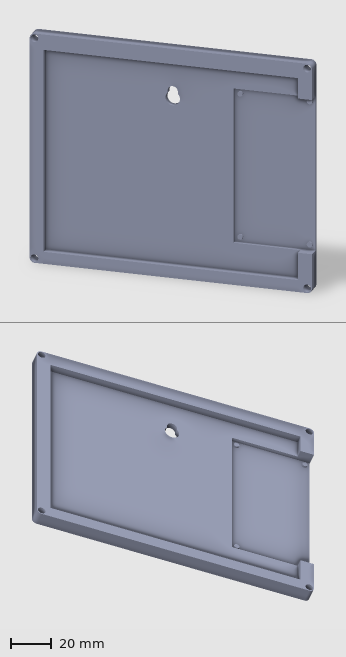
import cadquery as cq

width = 146.0
thickness = 7.0
height = 120.0
corner_radius = 2.5
corner_hole_diameter = 4.0
corner_hole_inset = 2.5

side_rim = 7.2
top_rim = 8.0
bottom_rim = 6.3
pocket_depth = 4.0

recess_width = 41.8
recess_top_margin = 18.7
recess_bottom_margin = 20.6
recess_depth = 6.0

pin_diameter = 2.8
pin_inset = 2.9
pin_height = 1.0

keyhole_x = -0.3
keyhole_head_diameter = 7.5
keyhole_slot_diameter = 5.3
keyhole_head_from_top = 27.3
keyhole_slot_from_top = 23.7

right = width / 2
top = height / 2
front = -thickness / 2


def block(x_min, x_max, z_min, z_max, depth):
    """Box reaching from the open face to the given depth."""
    size_x = x_max - x_min
    size_z = z_max - z_min
    return cq.Workplane("XY").box(size_x, depth, size_z, centered=False).translate((x_min, front, z_min))


def cylinders(points, diameter, y_start, length):
    """Cylinders along +Y at the given (x, z) points."""
    plane = cq.Workplane(cq.Plane(origin=(0, y_start, 0), xDir=(1, 0, 0), normal=(0, -1, 0)))
    return plane.pushPoints(points).circle(diameter / 2).extrude(-length)


plate = cq.Workplane("XY").box(width, thickness, height).edges("|Y").fillet(corner_radius)
hole_x = right - corner_hole_inset
hole_z = top - corner_hole_inset
corner_points = [(x, z) for x in (-hole_x, hole_x) for z in (-hole_z, hole_z)]
plate = plate.cut(cylinders(corner_points, corner_hole_diameter, front, thickness))

plate = plate.cut(block(-right + side_rim, right - side_rim, -top + bottom_rim, top - top_rim, pocket_depth))

recess_left = right - recess_width
recess_bottom = -top + recess_bottom_margin
recess_top = top - recess_top_margin
plate = plate.cut(block(recess_left, right, recess_bottom, recess_top, recess_depth))

pin_points = [
    (x, z)
    for x in (recess_left + pin_inset, right - pin_inset)
    for z in (recess_bottom + pin_inset, recess_top - pin_inset)
]
recess_floor = front + recess_depth
pin_root = thickness - recess_depth
plate = plate.union(cylinders(pin_points, pin_diameter, recess_floor - pin_height, pin_height + pin_root))

head_z = top - keyhole_head_from_top
slot_z = top - keyhole_slot_from_top
keyhole_head = cylinders([(keyhole_x, head_z)], keyhole_head_diameter, front, thickness)
slot_end = cylinders([(keyhole_x, slot_z)], keyhole_slot_diameter, front, thickness)
slot_half = keyhole_slot_diameter / 2
slot_body = block(keyhole_x - slot_half, keyhole_x + slot_half, head_z, slot_z, thickness)

result = plate.cut(keyhole_head).cut(slot_end).cut(slot_body)